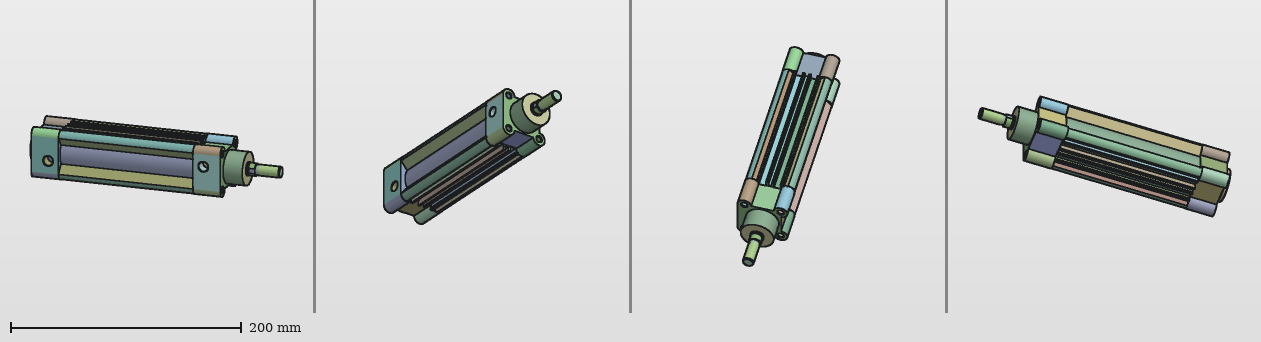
import cadquery as cq
import math

SPIGOT_LENGTH = 3.8
CAP_LENGTH = 25.0
TUBE_LENGTH = 123.8
COLLAR_LENGTH = 17.6
OVERALL_LENGTH = 226.0

REAR_CAP_X = SPIGOT_LENGTH
TUBE_X = REAR_CAP_X + CAP_LENGTH
FRONT_CAP_X = TUBE_X + TUBE_LENGTH
COLLAR_X = FRONT_CAP_X + CAP_LENGTH
ROD_X = COLLAR_X + COLLAR_LENGTH

CAP_WIDTH = 45.0
BOLT_SPACING = 32.5
BOLT_OFFSET = BOLT_SPACING / 2
LUG_RADIUS = (CAP_WIDTH - BOLT_SPACING) / 2
CAP_HALF_HEIGHT = 16.7
CAP_BACK_Y = 16.7
COLLAR_RADIUS = 15.0
SPIGOT_CHAMFER = 0.5
BOLT_HOLE_DIAMETER = 5.0
BOLT_HOLE_DEPTH = 15.8
BOLT_HOLE_CHAMFER = 0.7
PORT_DIAMETER = 8.5
PORT_DEPTH = 11.3
PORT_CHAMFER = 0.5
PORT_INSET = 15.5
PORT_OFFSET_Z = 5.0

BARREL_RADIUS = 18.0
BARREL_EDGE_Z = 8.5
RAIL_INSET = 0.2
RAIL_RADIUS = LUG_RADIUS - RAIL_INSET
FLOOR_Z = 16.3
FIN_TOP_Z = 22.1
RAIL_SLOPE_FOOT_Y = 12.5
RAIL_SLOPE_FOOT_Z = 19.0
HOOK_TOP_OUTER_Y = 11.5
HOOK_TIP_Y = 9.3
HOOK_WALL_Y = 10.0
HOOK_TIP_LOW_Z = 20.5
HOOK_UNDER_Z = 20.0
HOOK_TIP_CHAMFER = 0.7
FIN_OUTER_Y = 3.6
FIN_INNER_Y = 1.5
FIN_CHAMFER = 1.0
FIN_SLOT_Z = 18.0

ROD_RADIUS = 6.0
ROD_STEP_X = 196.8
SHANK_X = 197.5
SHANK_RADIUS = 5.6
FLATS_X = 198.0
FLATS_END_X = 203.5
FLATS_HALF_WIDTH = 5.2
NECK_RADIUS = 4.5
NECK_END_X = 204.8
THREAD_X = 206.3
THREAD_RADIUS = 5.0
THREAD_CHAMFER_LENGTH = 1.1
THREAD_TIP_RADIUS = 4.5


def box(x_range, y_range, z_range):
    """Axis-aligned block between the given limits."""
    lengths = [high - low for low, high in (x_range, y_range, z_range)]
    corner = (x_range[0], y_range[0], z_range[0])
    return cq.Workplane("XY").box(*lengths, centered=False).translate(corner)


def cylinder_x(x_start, length, radius, y=0.0, z=0.0):
    """Cylinder along +X."""
    return cq.Workplane("YZ", origin=(x_start, y, z)).circle(radius).extrude(length)


def bolt_positions():
    """(y, z) of the four corner bolt axes."""
    return [(sy * BOLT_OFFSET, sz * BOLT_OFFSET) for sy in (-1, 1) for sz in (-1, 1)]


def make_cap(x_start, outer_x, port_z):
    """End cap with four lugs, blind bolt holes in its outer face and a port on the -Y face."""
    x_end = x_start + CAP_LENGTH
    inward = 1 if outer_x == x_start else -1
    cap = box((x_start, x_end), (-BOLT_OFFSET, CAP_BACK_Y), (-CAP_HALF_HEIGHT, CAP_HALF_HEIGHT))
    side_wall = box((x_start, x_end), (-CAP_WIDTH / 2, -BOLT_OFFSET), (-BOLT_OFFSET, BOLT_OFFSET))
    cap = cap.union(side_wall)
    for y, z in bolt_positions():
        cap = cap.union(cylinder_x(x_start, CAP_LENGTH, LUG_RADIUS, y, z))
    bolt_hole = chamfered_hole(BOLT_HOLE_DIAMETER, BOLT_HOLE_DEPTH, BOLT_HOLE_CHAMFER)
    if inward < 0:
        bolt_hole = bolt_hole.mirror("YZ")
    for y, z in bolt_positions():
        cap = cap.cut(bolt_hole.translate((outer_x, y, z)))
    port_x = outer_x + inward * PORT_INSET
    port = chamfered_hole(PORT_DIAMETER, PORT_DEPTH, PORT_CHAMFER).rotate((0, 0, 0), (0, 0, 1), 90)
    return cap.cut(port.translate((port_x, -CAP_WIDTH / 2, port_z)))


def chamfered_hole(diameter, depth, chamfer):
    """Blind hole along +X from the origin, with a chamfered mouth."""
    radius = diameter / 2
    return (
        cq.Workplane("XY")
        .lineTo(0, radius + chamfer)
        .lineTo(chamfer, radius)
        .lineTo(depth, radius)
        .lineTo(depth, 0)
        .close()
        .revolve(360, (0, 0, 0), (1, 0, 0))
    )


def make_rear_cap():
    """Rear cap with its short locating spigot."""
    spigot = cylinder_x(0, SPIGOT_LENGTH, COLLAR_RADIUS).faces("<X").chamfer(SPIGOT_CHAMFER)
    return make_cap(REAR_CAP_X, REAR_CAP_X, -PORT_OFFSET_Z).union(spigot)


def make_front_cap():
    """Front cap with the collar that surrounds the rod."""
    collar = cylinder_x(COLLAR_X, COLLAR_LENGTH, COLLAR_RADIUS)
    return make_cap(FRONT_CAP_X, COLLAR_X, PORT_OFFSET_Z).union(collar)


def tube_quarter():
    """Quarter of the tube profile (+Y, +Z), extruded over the tube length."""
    barrel_edge_y = math.sqrt(BARREL_RADIUS**2 - BARREL_EDGE_Z**2)
    barrel_mid = BARREL_RADIUS * math.cos(math.asin(BARREL_EDGE_Z / BARREL_RADIUS) / 2)
    barrel_mid_z = math.sqrt(BARREL_RADIUS**2 - barrel_mid**2)
    rail_reach = BOLT_OFFSET + RAIL_RADIUS
    rail_mid = BOLT_OFFSET + RAIL_RADIUS * math.sqrt(0.5)
    return (
        cq.Workplane("YZ", origin=(TUBE_X, 0, 0))
        .moveTo(0, 0)
        .lineTo(BARREL_RADIUS, 0)
        .threePointArc((barrel_mid, barrel_mid_z), (barrel_edge_y, BARREL_EDGE_Z))
        .lineTo(rail_reach, BOLT_OFFSET)
        .threePointArc((rail_mid, rail_mid), (BOLT_OFFSET, rail_reach))
        .lineTo(RAIL_SLOPE_FOOT_Y, RAIL_SLOPE_FOOT_Z)
        .lineTo(HOOK_TOP_OUTER_Y, FIN_TOP_Z)
        .lineTo(HOOK_TIP_Y + HOOK_TIP_CHAMFER, FIN_TOP_Z)
        .lineTo(HOOK_TIP_Y, FIN_TOP_Z - HOOK_TIP_CHAMFER)
        .lineTo(HOOK_TIP_Y, HOOK_TIP_LOW_Z)
        .lineTo(HOOK_WALL_Y, HOOK_UNDER_Z)
        .lineTo(HOOK_WALL_Y, FLOOR_Z)
        .lineTo(FIN_OUTER_Y, FLOOR_Z)
        .lineTo(FIN_OUTER_Y, FIN_TOP_Z)
        .lineTo(FIN_INNER_Y + FIN_CHAMFER, FIN_TOP_Z)
        .lineTo(FIN_INNER_Y, FIN_TOP_Z - FIN_CHAMFER)
        .lineTo(FIN_INNER_Y, FIN_SLOT_Z)
        .lineTo(0, FIN_SLOT_Z)
        .close()
        .extrude(TUBE_LENGTH)
    )


def make_tube():
    """Extruded tube, symmetric about both planes through its axis."""
    quarter = tube_quarter()
    half = quarter.union(quarter.mirror("XZ"))
    return half.union(half.mirror("XY")).clean()


def make_rod():
    """Piston rod end: stepped shank with two wrench flats, neck and plain thread cylinder."""
    rod = (
        cq.Workplane("XY")
        .moveTo(ROD_X, 0)
        .lineTo(ROD_X, ROD_RADIUS)
        .lineTo(ROD_STEP_X, ROD_RADIUS)
        .lineTo(SHANK_X, SHANK_RADIUS)
        .lineTo(FLATS_END_X, SHANK_RADIUS)
        .lineTo(FLATS_END_X, NECK_RADIUS)
        .lineTo(NECK_END_X, NECK_RADIUS)
        .lineTo(THREAD_X, THREAD_RADIUS)
        .lineTo(OVERALL_LENGTH - THREAD_CHAMFER_LENGTH, THREAD_RADIUS)
        .lineTo(OVERALL_LENGTH, THREAD_TIP_RADIUS)
        .lineTo(OVERALL_LENGTH, 0)
        .close()
        .revolve(360, (0, 0, 0), (1, 0, 0))
    )
    for side in (-1, 1):
        y_range = sorted((side * FLATS_HALF_WIDTH, side * ROD_RADIUS))
        rod = rod.cut(box((FLATS_X, FLATS_END_X), y_range, (-ROD_RADIUS, ROD_RADIUS)))
    return rod


rear_cap = make_rear_cap()
tube = make_tube()
front_cap = make_front_cap()
rod = make_rod()

result = cq.Compound.makeCompound([rear_cap.val(), tube.val(), front_cap.val(), rod.val()])